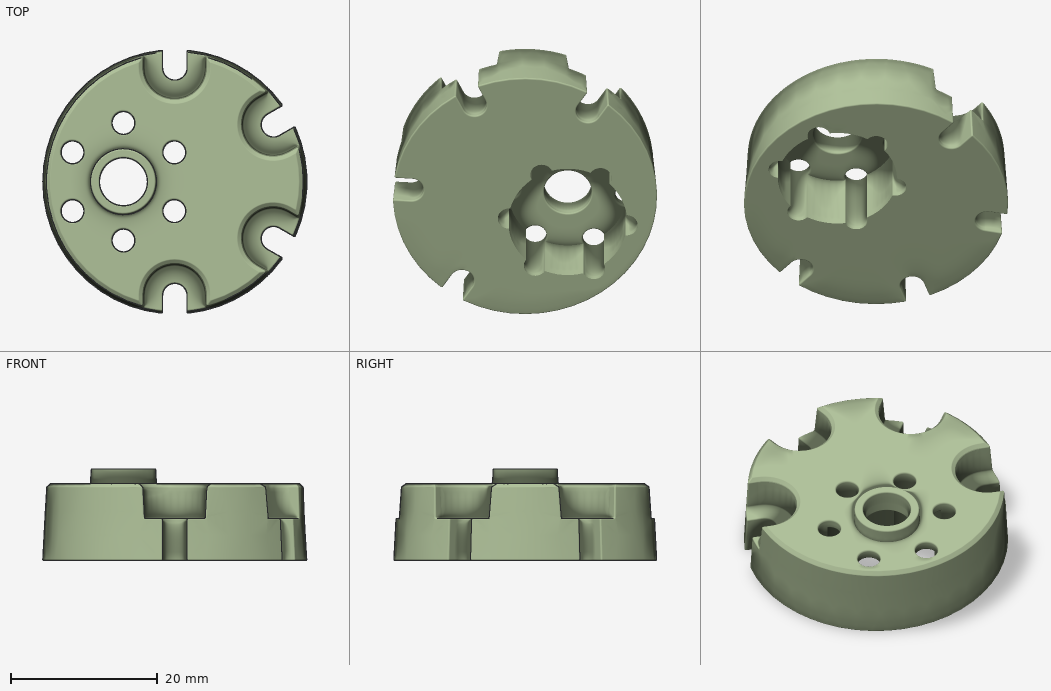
import cadquery as cq
import math

BODY_RADIUS = 18.0
BODY_HEIGHT = 10.5
DRAFT = 3.0
TOP_CHAMFER = 0.5
EDGE_ROUND = 0.2

COLLAR_X = -7.0
COLLAR_RADIUS = 4.5
COLLAR_HEIGHT = 2.0
BORE_RADIUS = 3.25

HOLE_COUNT = 6
HOLE_RADIUS = 1.54
HOLE_RIM_ROUND = 0.25
HOLE_CIRCLE_RADIUS = 8.0
HOLE_FIRST_ANGLE = 30.0

NOTCH_ANGLES = (-90, -30, 30, 90)
NOTCH_CENTER_RADIUS = 15.5
NOTCH_FLOOR = 5.75
POCKET_RADIUS = 4.14
SLOT_RADIUS = 1.65

CAVITY_RADIUS = 8.1
PLATE_THICKNESS = 1.5

draft_slope = math.tan(math.radians(DRAFT))
total_height = BODY_HEIGHT + COLLAR_HEIGHT
cavity_ceiling = BODY_HEIGHT - PLATE_THICKNESS


def tapered_disc(bottom_radius, height):
    """Upright round solid on Z = 0 that narrows upward by the draft angle."""
    top_radius = bottom_radius - draft_slope * height
    return (
        cq.Workplane("XZ")
        .polyline([(0, 0), (bottom_radius, 0), (top_radius, height), (0, height)])
        .close()
        .revolve(360, (0, 0), (0, 1))
    )


def u_outline(half_width, height):
    """U-shaped outline at the given height, round end inward and open end past the rim."""
    outer_end = 2 * BODY_RADIUS
    return (
        cq.Workplane("XY", origin=(0, 0, height))
        .moveTo(outer_end, half_width)
        .lineTo(NOTCH_CENTER_RADIUS, half_width)
        .threePointArc(
            (NOTCH_CENTER_RADIUS - half_width, 0),
            (NOTCH_CENTER_RADIUS, -half_width),
        )
        .lineTo(outer_end, -half_width)
        .close()
    )


def notch_cutter():
    """Pocket that widens upward, with a straight slot below it, placed on the +X side."""
    pocket_depth = BODY_HEIGHT - NOTCH_FLOOR
    pocket = u_outline(POCKET_RADIUS, NOTCH_FLOOR).extrude(pocket_depth, taper=-DRAFT)
    slot = u_outline(SLOT_RADIUS, 0).extrude(NOTCH_FLOOR)
    return pocket.union(slot)


def notched_body():
    """Body with its rim notches, chamfered top outline and softened edges."""
    body = tapered_disc(BODY_RADIUS, BODY_HEIGHT)
    for angle in NOTCH_ANGLES:
        body = body.cut(notch_cutter().rotate((0, 0, 0), (0, 0, 1), angle))
    body = body.faces(">Z").edges().chamfer(TOP_CHAMFER)
    return body.edges().fillet(EDGE_ROUND)


def collar():
    """Collar standing on the top face, its upper edge rounded."""
    ring = tapered_disc(COLLAR_RADIUS, COLLAR_HEIGHT).faces(">Z").edges().fillet(EDGE_ROUND)
    return ring.translate((COLLAR_X, 0, BODY_HEIGHT))


def hole_centers():
    """Centres of the ring of holes, in the XY plane."""
    centers = []
    for index in range(HOLE_COUNT):
        angle = math.radians(HOLE_FIRST_ANGLE + index * 360 / HOLE_COUNT)
        x = COLLAR_X + HOLE_CIRCLE_RADIUS * math.cos(angle)
        y = HOLE_CIRCLE_RADIUS * math.sin(angle)
        centers.append((x, y))
    return centers


def round_rims(part, radius, heights, rounding):
    """Fillet the circular edges of the given radius that lie at the given heights."""
    tolerance = 1e-4
    rims = []
    for edge in part.edges("%CIRCLE").vals():
        at_height = any(abs(edge.Center().z - height) < tolerance for height in heights)
        if at_height and abs(edge.radius() - radius) < tolerance:
            rims.append(edge)
    return part.newObject(rims).fillet(rounding)


bore = cq.Workplane("XY").center(COLLAR_X, 0).circle(BORE_RADIUS).extrude(total_height)
holes = cq.Workplane("XY").pushPoints(hole_centers()).circle(HOLE_RADIUS).extrude(BODY_HEIGHT)
cavity = cq.Workplane("XY").center(COLLAR_X, 0).circle(CAVITY_RADIUS).extrude(cavity_ceiling)

result = notched_body().union(collar()).cut(bore).cut(holes).cut(cavity)
result = round_rims(result, BORE_RADIUS, (cavity_ceiling, total_height), EDGE_ROUND)
result = round_rims(result, HOLE_RADIUS, (cavity_ceiling, BODY_HEIGHT), HOLE_RIM_ROUND)